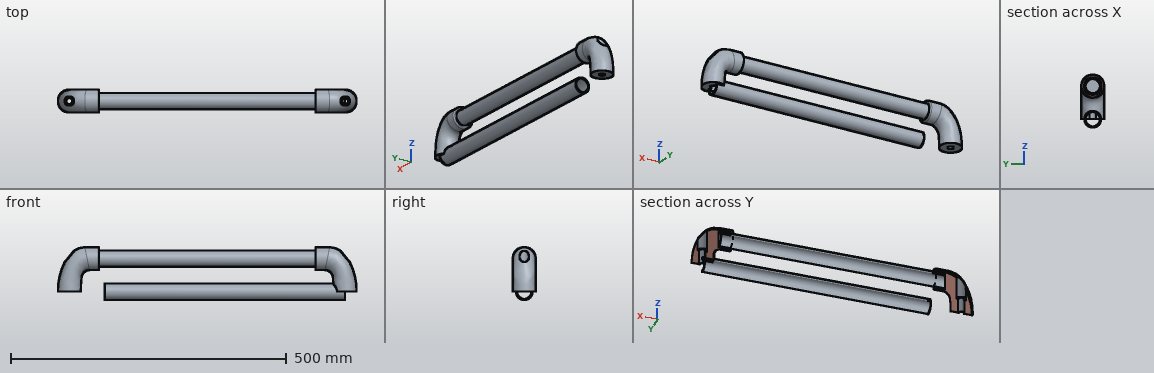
import cadquery as cq
import math

foot_spacing = 500.0
foot_x = foot_spacing / 2
bracket_radius = 21.0
rail_height = 60.0

bend_outer_width = 49.0
bend_outer_height = rail_height + bracket_radius
bend_inner_radius = 14.0
bend_inner_lean = 1.5
bend_inner_start = 23.0
bend_sections = 10
mouth_x = 196.0
seam_angle = 90.0
mouth_fillet = 2.0

head_diameter = 17.0
screw_diameter = 11.0
screw_seat_height = 30.0

tube_diameter = 30.0
tube_bore = 26.0
tube_length = 436.0
socket_diameter = 30.5
loose_tube_end_x = foot_x


def x_cylinder(diameter, start_x, end_x, height):
    """Solid cylinder along X between two X positions."""
    return (
        cq.Workplane("YZ", origin=(start_x, 0, height))
        .circle(diameter / 2)
        .extrude(end_x - start_x)
    )


def cross_section(outer, inner):
    """Ellipse in a plane along Y that spans the outer and inner points (x, z) of the elbow."""
    across = cq.Vector(inner[0] - outer[0], 0, inner[1] - outer[1])
    center = cq.Vector((outer[0] + inner[0]) / 2, 0, (outer[1] + inner[1]) / 2)
    normal = across.cross(cq.Vector(0, 1, 0))
    ellipse = cq.Edge.makeEllipse(
        across.Length / 2, bracket_radius, center, normal, across, seam_angle, seam_angle + 360
    )
    return cq.Wire.assembleEdges([ellipse])


def bend_section(turn):
    """Cross-section of the elbow, from the foot (turn = 0) to the horizontal part (turn = 90)."""
    angle = math.radians(turn)
    outer_center_x = foot_x + bracket_radius - bend_outer_width
    outer = (
        outer_center_x + bend_outer_width * math.cos(angle),
        bend_outer_height * math.sin(angle),
    )

    arc_center_x = foot_x - bracket_radius - bend_inner_lean - bend_inner_radius
    arc_center_z = rail_height - bracket_radius - bend_inner_radius
    if turn < bend_inner_start:
        rise = turn / bend_inner_start
        inner_x = foot_x - bracket_radius - bend_inner_lean * rise
        inner_z = arc_center_z * rise
    else:
        arc_angle = math.pi / 2 * (turn - bend_inner_start) / (90 - bend_inner_start)
        inner_x = arc_center_x + bend_inner_radius * math.cos(arc_angle)
        inner_z = arc_center_z + bend_inner_radius * math.sin(arc_angle)
    return cross_section(outer, (inner_x, inner_z))


def make_bracket():
    """Elbow bracket for the +X end, with its tube socket and screw hole."""
    sections = [bend_section(90 * i / (bend_sections - 1)) for i in range(bend_sections)]
    mouth = cross_section(
        (mouth_x, rail_height + bracket_radius),
        (mouth_x, rail_height - bracket_radius),
    )
    bend = cq.Workplane(cq.Solid.makeLoft(sections))
    collar = cq.Workplane(cq.Solid.makeLoft([sections[-1], mouth], True))
    elbow = bend.union(collar).faces("<X").edges().fillet(mouth_fillet)

    socket = x_cylinder(socket_diameter, mouth_x, tube_length / 2, rail_height)
    screw_hole = cq.Workplane("XY").center(foot_x, 0).circle(screw_diameter / 2).extrude(bend_outer_height)
    head_hole = (
        cq.Workplane("XY", origin=(foot_x, 0, screw_seat_height))
        .circle(head_diameter / 2)
        .extrude(bend_outer_height)
    )
    return elbow.cut(socket).cut(screw_hole).cut(head_hole)


def make_tube(end_x, height):
    """Hollow tube along X that ends at end_x."""
    start_x = end_x - tube_length
    bore = x_cylinder(tube_bore, start_x, end_x, height)
    return x_cylinder(tube_diameter, start_x, end_x, height).cut(bore)


rail_tube = make_tube(tube_length / 2, rail_height)
loose_tube = make_tube(loose_tube_end_x, 0)

loose_tube_recess = x_cylinder(
    tube_diameter, loose_tube_end_x - tube_length, loose_tube_end_x, 0
)
bracket = make_bracket()
left_bracket = bracket.mirror("YZ")
right_bracket = bracket.cut(loose_tube_recess)

result = cq.Compound.makeCompound([
    left_bracket.solids().val(),
    right_bracket.solids().val(),
    rail_tube.val(),
    loose_tube.val(),
])